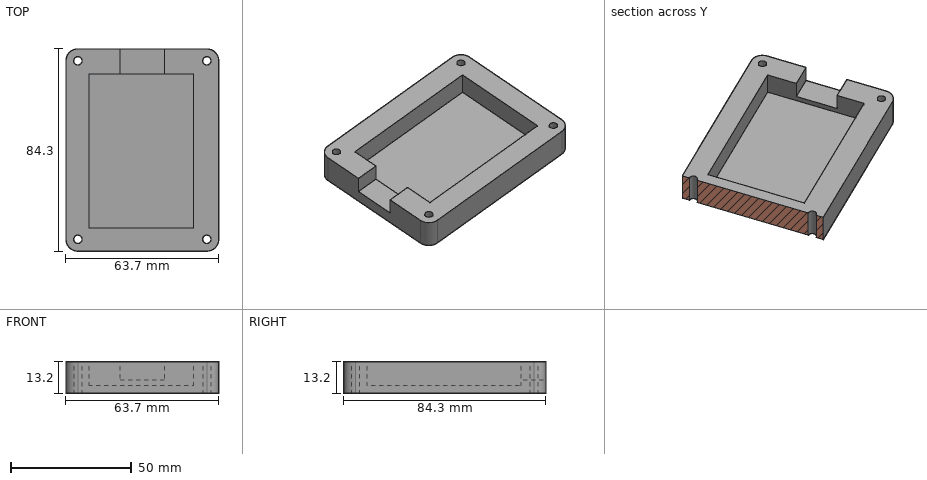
import cadquery as cq

LENGTH_X = 63.7
LENGTH_Y = 84.3
HEIGHT = 13.2
CORNER_RADIUS = 5.0

HOLE_DIAMETER = 3.4

POCKET_X = 43.6
POCKET_Y = 64.2
POCKET_DEPTH = 10.0
POCKET_LEFT_WALL = 9.6
POCKET_FRONT_WALL = 9.7

SLOT_WIDTH = 18.4
SLOT_DEPTH = 7.6
SLOT_LEFT_OFFSET = 22.6


def block_from_top(left, front, size_x, size_y, depth):
    """Box hanging down from the top face, placed by its left front corner."""
    corner = (left, front, HEIGHT - depth)
    return cq.Workplane("XY").box(size_x, size_y, depth, centered=False).translate(corner)


def make_body():
    block = cq.Workplane("XY").box(LENGTH_X, LENGTH_Y, HEIGHT, centered=False)
    return block.edges("|Z").fillet(CORNER_RADIUS)


def make_pocket():
    return block_from_top(POCKET_LEFT_WALL, POCKET_FRONT_WALL, POCKET_X, POCKET_Y, POCKET_DEPTH)


def make_slot():
    pocket_back = POCKET_FRONT_WALL + POCKET_Y
    back_wall = LENGTH_Y - pocket_back
    return block_from_top(SLOT_LEFT_OFFSET, pocket_back, SLOT_WIDTH, back_wall, SLOT_DEPTH)


def make_holes():
    near = CORNER_RADIUS
    centres = [(x, y) for x in (near, LENGTH_X - near) for y in (near, LENGTH_Y - near)]
    return cq.Workplane("XY").pushPoints(centres).circle(HOLE_DIAMETER / 2).extrude(HEIGHT)


result = make_body().cut(make_pocket()).cut(make_slot()).cut(make_holes())